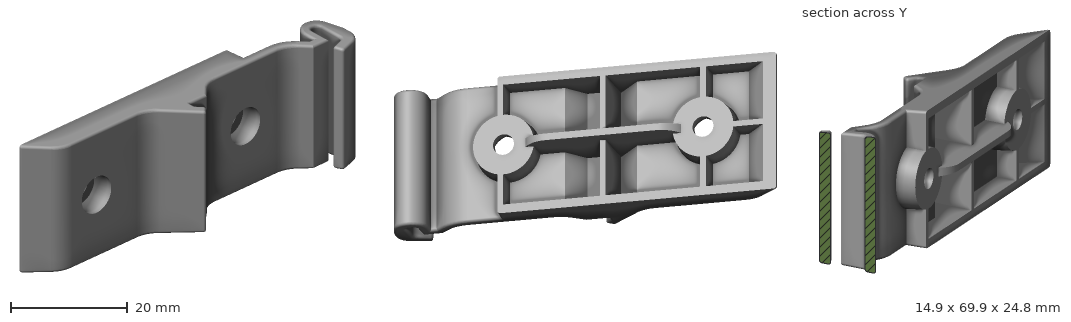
import cadquery as cq
import math

base_width = 24.78
side_draft = 2.7
wall = 2.0
edge_round = 0.5
top_y = 69.88
front_x = 5.5
floor_x = front_x - wall
bend_radius = 5.0

tip_flat = 0.5
end_y = 49.5
end_draft = 0.35
bump_x = 8.65
bump_ramp_sum = 44.8
lip_ramp_rise = 19.3
lip_back_rise = 22.1
lip_round = 0.45
notch_y = 32.05
notch_bend = 1.0
notch_corner = 0.25

neck_x = 8.78
neck_ramp_rise = 52.6
neck_wall = 1.85
slot_low_y = 65.0
slot_high_y = 67.05
slot_end_x = 3.9
slot_radius = 1.0
hook_x = slot_end_x - wall
hook_low_y = slot_low_y - neck_wall
hook_radius = 2.95
hook_slope = 15.0
hook_top_bend = 2.0
hook_outer_bend = 2.9
hook_inner_bend = 1.2
hook_outer_x = 11.3
hook_inner_x = 9.95
hook_tip_inner = (11.05, 63.8)
hook_tip_outer = (13.03, 64.5)
hook_tip_round = 0.45

rib = 1.0
pocket_draft = 5.5
pocket_half_z = 10.85
pocket_low_y = 2.1
mid_rib_y = 30.8
end_rib_y = end_y - rib / 2
spine_half = 0.8

low_boss_y = 13.0
boss_spacing = 35.4
boss_ys = (low_boss_y, low_boss_y + boss_spacing)
boss_radius = 5.4
hole_radius = 1.85
head_radius = 3.5
screw_seat = 1.3
keel_height = 2.0
keel_low_y = 16.9
keel_high_y = 44.5
keel_arc = 5.0


def rounded_outline(corners):
    """Closed XY wire through (x, y, radius) corners; radius 0 keeps a corner sharp."""
    stations = []
    for i, (x, y, radius) in enumerate(corners):
        corner = cq.Vector(x, y)
        back = (cq.Vector(*corners[i - 1][:2]) - corner).normalized()
        ahead = (cq.Vector(*corners[(i + 1) % len(corners)][:2]) - corner).normalized()
        half_angle = back.getAngle(ahead) / 2
        reach = radius / math.tan(half_angle)
        bisector = (back + ahead).normalized()
        middle = corner + bisector * (radius / math.sin(half_angle) - radius)
        stations.append((radius, corner + back * reach, middle, corner + ahead * reach))

    start = stations[0][3]
    outline = cq.Workplane("XY").moveTo(start.x, start.y)
    for radius, arc_start, middle, arc_end in stations[1:] + stations[:1]:
        outline = outline.lineTo(arc_start.x, arc_start.y)
        if radius > 0:
            outline = outline.threePointArc((middle.x, middle.y), (arc_end.x, arc_end.y))
    return outline.close()


def outer_corners():
    neck_inner_x = neck_x - neck_wall
    inner_rise = neck_ramp_rise + neck_wall * math.sqrt(2)
    lip_end_x = (bump_ramp_sum - lip_ramp_rise) / 2
    lip_back_x = (bump_ramp_sum - lip_back_rise) / 2
    slope = math.radians(hook_slope)
    hook_apex_x = hook_x + hook_radius - hook_radius / math.tan(slope / 2)
    hook_top_x = hook_apex_x + (top_y - hook_low_y) / math.tan(slope)
    return [
        (0, 0, 0),
        (tip_flat, 0, 0),
        (front_x, front_x - tip_flat, bend_radius),
        (front_x, front_x + lip_ramp_rise, bend_radius),
        (lip_end_x, lip_end_x + lip_ramp_rise, lip_round),
        (lip_back_x, bump_ramp_sum - lip_back_x, lip_round),
        (notch_y - lip_back_rise, notch_y, notch_bend),
        (bump_x, notch_y, notch_corner),
        (bump_x, bump_ramp_sum - bump_x, 0),
        (front_x, bump_ramp_sum - front_x, bend_radius),
        (front_x, front_x + neck_ramp_rise, bend_radius),
        (neck_x, neck_x + neck_ramp_rise, 0),
        (neck_x, slot_low_y, 0),
        (slot_end_x, slot_low_y, slot_radius),
        (slot_end_x, slot_high_y, slot_radius),
        (hook_inner_x, slot_high_y, hook_inner_bend),
        (*hook_tip_inner, hook_tip_round),
        (*hook_tip_outer, hook_tip_round),
        (hook_outer_x, top_y, hook_outer_bend),
        (hook_top_x, top_y, hook_top_bend),
        (hook_apex_x, hook_low_y, hook_radius),
        (neck_inner_x, hook_low_y, 0),
        (neck_inner_x, neck_inner_x + inner_rise, 0),
        (floor_x, floor_x + inner_rise, bend_radius + wall),
        (floor_x, end_y + end_draft, 0),
        (0, end_y, 0),
    ]


def make_shell():
    slab = rounded_outline(outer_corners()).extrude(base_width / 2, both=True)
    reach_x = 20.0
    narrow = base_width / 2 - reach_x * math.tan(math.radians(side_draft))
    wedge = (
        cq.Workplane("XZ")
        .polyline([
            (0, -base_width / 2),
            (reach_x, -narrow),
            (reach_x, narrow),
            (0, base_width / 2),
        ])
        .close()
        .extrude(-top_y)
    )
    return slab.intersect(wedge)


def round_sides(shell):
    """Round every edge of the two Z sides except those on the open face."""
    tiny = 0.01
    side_edges = shell.faces(">Z or <Z").edges()
    return side_edges.filter(lambda edge: edge.BoundingBox().xmax > tiny).fillet(edge_round)


def cavity():
    """Space under the outer skin, ending in the stepped pocket floor."""
    skin_shift = wall * math.sqrt(2)
    low_sum = tip_flat - skin_shift
    lip_rise = lip_ramp_rise + skin_shift
    bump_sum = bump_ramp_sum - skin_shift
    bump_floor_x = bump_x - wall
    peak_x = mid_rib_y - lip_rise
    return (
        cq.Workplane("XY")
        .polyline([
            (0, -low_sum),
            (floor_x, floor_x - low_sum),
            (floor_x, floor_x + lip_rise),
            (peak_x, mid_rib_y),
            (bump_floor_x, mid_rib_y),
            (bump_floor_x, bump_sum - bump_floor_x),
            (floor_x, bump_sum - floor_x),
            (floor_x, end_y),
            (0, end_y),
        ])
        .close()
        .extrude(base_width / 2, both=True)
    )


def pocket_cell(low_y, high_y, half_rib):
    """Pair of pockets on both sides of the spine, narrowing away from the open face."""
    height = pocket_half_z - half_rib
    centre_z = half_rib + height / 2
    middle_y = (low_y + high_y) / 2
    return (
        cq.Workplane("YZ")
        .pushPoints([(middle_y, -centre_z), (middle_y, centre_z)])
        .rect(high_y - low_y, height)
        .extrude(bump_x, taper=pocket_draft)
    )


def make_bosses():
    return (
        cq.Workplane("YZ")
        .pushPoints([(y, 0) for y in boss_ys])
        .circle(boss_radius)
        .extrude(floor_x + wall / 2, taper=-pocket_draft)
    )


def make_pockets():
    half = rib / 2
    cells = pocket_cell(pocket_low_y, low_boss_y - half, half)
    cells = cells.add(pocket_cell(low_boss_y + half, mid_rib_y - half, spine_half))
    cells = cells.add(pocket_cell(mid_rib_y + half, end_rib_y - half, spine_half))
    return cells.combine().intersect(cavity()).cut(make_bosses())


def make_keel():
    """Thin blade standing on the spine, with rounded ends and drafted sides."""
    mid_y = (keel_low_y + keel_high_y) / 2
    end_run = math.sqrt(keel_arc**2 - (keel_arc - keel_height) ** 2)
    half_angle = math.asin(end_run / keel_arc) / 2
    mid_run = end_run - keel_arc * math.sin(half_angle)
    mid_x = -keel_height + keel_arc * (1 - math.cos(half_angle))
    blade = (
        cq.Workplane("XY")
        .moveTo(0, keel_low_y)
        .threePointArc((mid_x, keel_low_y + mid_run), (-keel_height, keel_low_y + end_run))
        .lineTo(-keel_height, keel_high_y - end_run)
        .threePointArc((mid_x, keel_high_y - mid_run), (0, keel_high_y))
        .close()
        .extrude(spine_half, both=True)
    )
    taper = (
        cq.Workplane("YZ")
        .center(mid_y, 0)
        .rect(2 * keel_high_y, 2 * spine_half)
        .extrude(-keel_height, taper=pocket_draft)
    )
    return blade.intersect(taper)


def make_holes():
    """Screw holes with a counterbore from the outer face down to the seat."""
    centres = [(y, 0) for y in boss_ys]
    through = cq.Workplane("YZ").pushPoints(centres).circle(hole_radius).extrude(front_x)
    seats = cq.Workplane("YZ", origin=(screw_seat, 0, 0)).pushPoints(centres)
    return through.union(seats.circle(head_radius).extrude(front_x - screw_seat))


body = round_sides(make_shell()).cut(make_pockets())
result = body.union(make_bosses()).union(make_keel()).cut(make_holes())